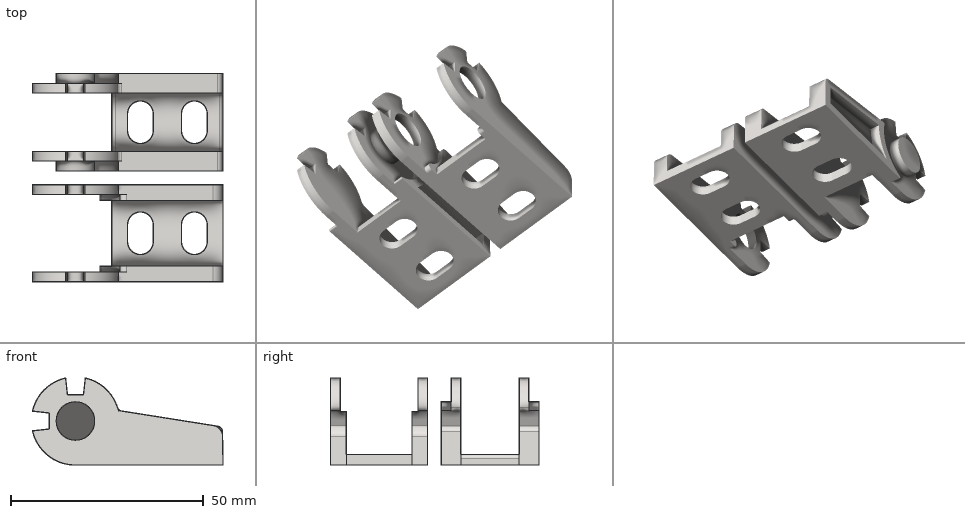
import cadquery as cq
import math

DISC_RADIUS = 11.475
BASE_Z = -DISC_RADIUS
ARM_END_X = 38.325
ARM_TOP_Z = 2.75
ARM_TOP_X = math.sqrt(DISC_RADIUS**2 - ARM_TOP_Z**2)
ARM_TOP_SLOPE = 9.0
ARM_END_DRAFT = 1.0
NOTCH_FLOOR = 6.85
NOTCH_FLOOR_WIDTH = 4.1
NOTCH_FLANK_ANGLE = 6.3

DISC_THICKNESS = 2.55
CLEARANCE_RADIUS = 11.525

WEB_START_X = 9.4
WEB_THICKNESS = 2.8
SLOT_LENGTH = 11.0
SLOT_WIDTH = 6.6
SLOT_POSITIONS = (16.85, 30.85)

OUTER_WIDTH = 25.2
OUTER_ARM_THICKNESS = 4.1
OUTER_END_RADIUS = 3.0
OUTER_RELIEF_TOP_RADIUS = 1.5
OUTER_RELIEF_BOTTOM_RADIUS = 1.2
HOLE_RADIUS = 5.0

INNER_WIDTH = 25.4
INNER_ARM_THICKNESS = 5.15
INNER_END_RADIUS = 1.5
INNER_RELIEF_BOTTOM_RADIUS = 0.4
NECK_RADIUS = 1.25
WEB_EDGE_RADIUS = 1.0
BOSS_RADIUS = 5.0
POCKET_RIM = 2.3

FORK_GAP = 3.5
OUTER_CENTER_Y = 0.0
INNER_CENTER_Y = OUTER_CENTER_Y + OUTER_WIDTH / 2 + FORK_GAP + INNER_WIDTH / 2


def side_plane(y):
    """XZ sketch plane at the given Y; a negative extrusion runs towards +Y."""
    return cq.Workplane("XZ", origin=(0, y, 0))


def disc(y, thickness, radius):
    """Round plate on the hinge axis."""
    return side_plane(y).circle(radius).extrude(-thickness)


def arm(y, thickness, end_radius):
    """Full arm, from the hinge axis to its rounded free end."""
    slope = math.tan(math.radians(ARM_TOP_SLOPE))
    draft = math.tan(math.radians(ARM_END_DRAFT))
    axis_top_z = ARM_TOP_Z + slope * ARM_TOP_X
    top_end_x = (ARM_END_X - draft * (axis_top_z - BASE_Z)) / (1 - draft * slope)
    top_end_z = axis_top_z - slope * top_end_x
    outline = [(0, BASE_Z), (ARM_END_X, BASE_Z), (top_end_x, top_end_z), (0, axis_top_z)]
    body = side_plane(y).polyline(outline).close().extrude(-thickness)
    tip = cq.selectors.NearestToPointSelector((top_end_x, y + thickness / 2, top_end_z))
    return body.edges("|Y").edges(tip).fillet(end_radius)


def notches(y, thickness):
    """Two tapered notches, pointing to -X and +Z."""
    depth = DISC_RADIUS - NOTCH_FLOOR
    floor_half = NOTCH_FLOOR_WIDTH / 2
    mouth_half = floor_half + depth * math.tan(math.radians(NOTCH_FLANK_ANGLE))
    outline = [
        (-floor_half, NOTCH_FLOOR),
        (floor_half, NOTCH_FLOOR),
        (mouth_half, DISC_RADIUS),
        (-mouth_half, DISC_RADIUS),
    ]
    up = side_plane(y).polyline(outline).close().extrude(-thickness)
    left = up.rotate((0, 0, 0), (0, 1, 0), -90)
    return up.add(left).combine()


def disc_layer(y, end_radius, neck_radius=0):
    """Side wall layer with the notched hinge disc."""
    layer = disc(y, DISC_THICKNESS, DISC_RADIUS).union(arm(y, DISC_THICKNESS, end_radius))
    if neck_radius:
        neck = cq.selectors.NearestToPointSelector((ARM_TOP_X, y + DISC_THICKNESS / 2, ARM_TOP_Z))
        layer = layer.edges("|Y").edges(neck).fillet(neck_radius)
    return layer.cut(notches(y, DISC_THICKNESS))


def relieved_layer(y, thickness, end_radius, top_radius, bottom_radius):
    """Side wall layer hollowed at the hinge to clear the mating disc."""
    layer = arm(y, thickness, end_radius).cut(disc(y, thickness, CLEARANCE_RADIUS))
    lower_x = math.sqrt(CLEARANCE_RADIUS**2 - BASE_Z**2)
    lower = cq.selectors.NearestToPointSelector((lower_x, y + thickness / 2, BASE_Z))
    layer = layer.edges("|Y").edges(lower).fillet(bottom_radius)
    if top_radius:
        upper = cq.selectors.NearestToPointSelector((CLEARANCE_RADIUS, y + thickness / 2, ARM_TOP_Z))
        layer = layer.edges("|Y").edges(upper).fillet(top_radius)
    return layer


def pocket(layer, depth):
    """Recess following the layer's outline inside an even rim."""
    outline = layer.faces("<Y").wires().toPending()
    return outline.offset2D(-POCKET_RIM, "intersection").extrude(-depth, combine=False)


def web(center_y, width, edge_radius=0):
    """Slotted floor plate between the side walls."""
    length = ARM_END_X - WEB_START_X
    plate = cq.Workplane("XY", origin=(WEB_START_X, center_y - width / 2, BASE_Z)).box(
        length, width, WEB_THICKNESS, centered=False
    )
    if edge_radius:
        plate = plate.edges("|Y and >Z").fillet(edge_radius)
    slots = (
        cq.Workplane("XY", origin=(0, center_y, BASE_Z))
        .pushPoints([(x, 0) for x in SLOT_POSITIONS])
        .slot2D(SLOT_LENGTH, SLOT_WIDTH, 90)
        .extrude(WEB_THICKNESS)
    )
    return plate.cut(slots)


def mirrored_pair(wall, center_y):
    """The wall together with its mirror image across the fork's middle plane."""
    return wall, wall.mirror("XZ", (0, center_y, 0))


def make_outer_fork():
    """Fork with pierced discs in its outer layers."""
    face_y = OUTER_CENTER_Y - OUTER_WIDTH / 2
    relief_thickness = OUTER_ARM_THICKNESS - DISC_THICKNESS
    wall = disc_layer(face_y, OUTER_END_RADIUS)
    wall = wall.cut(disc(face_y, DISC_THICKNESS, HOLE_RADIUS))
    wall = wall.union(
        relieved_layer(
            face_y + DISC_THICKNESS,
            relief_thickness,
            OUTER_END_RADIUS,
            OUTER_RELIEF_TOP_RADIUS,
            OUTER_RELIEF_BOTTOM_RADIUS,
        )
    )
    fork = web(OUTER_CENTER_Y, OUTER_WIDTH - 2 * OUTER_ARM_THICKNESS)
    for side in mirrored_pair(wall, OUTER_CENTER_Y):
        fork = fork.union(side)
    return fork


def make_inner_fork():
    """Fork with discs in its inner layers, bosses on them and pocketed arms."""
    face_y = INNER_CENTER_Y - INNER_WIDTH / 2
    relief_thickness = INNER_ARM_THICKNESS - DISC_THICKNESS
    wall = disc_layer(face_y + relief_thickness, INNER_END_RADIUS, NECK_RADIUS)
    relief = relieved_layer(face_y, relief_thickness, INNER_END_RADIUS, 0, INNER_RELIEF_BOTTOM_RADIUS)
    wall = wall.union(relief.cut(pocket(relief, relief_thickness)))
    wall = wall.union(disc(face_y, relief_thickness, BOSS_RADIUS))
    fork = web(INNER_CENTER_Y, INNER_WIDTH - 2 * INNER_ARM_THICKNESS, WEB_EDGE_RADIUS)
    for side in mirrored_pair(wall, INNER_CENTER_Y):
        fork = fork.union(side)
    return fork


outer_fork = make_outer_fork()
inner_fork = make_inner_fork()

result = cq.Compound.makeCompound([outer_fork.val(), inner_fork.val()])